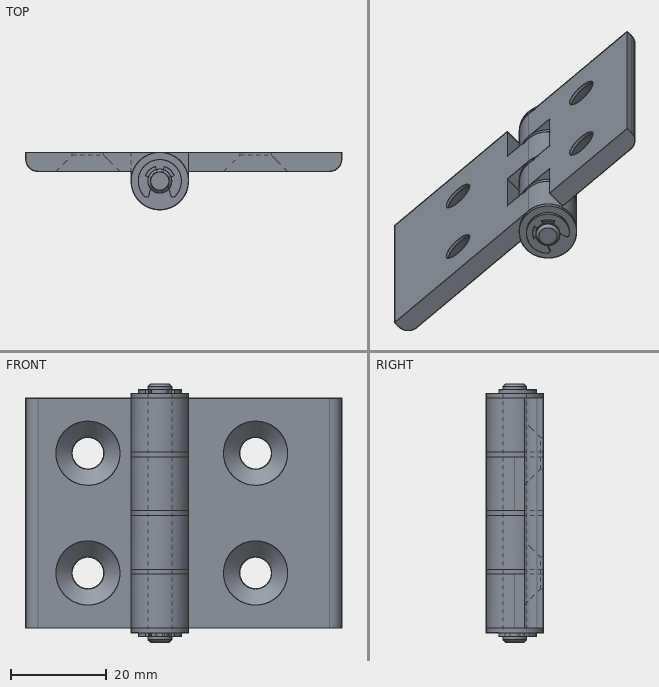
import cadquery as cq
import math


barrel_diameter = 12.0
barrel_radius = barrel_diameter / 2
washer_thickness = 1.0
knuckle_count = 4

leaf_height = 48.0
leaf_thickness = 4.0
left_leaf_reach = 28.0
right_leaf_reach = 38.0
edge_radius = 2.6
back_y = barrel_radius
front_y = back_y - leaf_thickness

left_hole_offset = 15.0
right_hole_offset = 20.0
hole_spacing = 25.0
hole_diameter = 6.6
countersink_diameter = 13.4
countersink_angle = 90.0

pin_diameter = 5.0
pin_length = 54.0
pin_chamfer = 0.6
groove_diameter = 4.0

clip_thickness = 0.8
clip_radius = 4.5
clip_tip_y = -3.33
mouth_half_width_at_tip = 2.4
mouth_half_width_at_groove = 1.73
relief_radius = 3.2
relief_start_angle = 21.0
relief_end_angle = 73.0

knuckle_length = (leaf_height - (knuckle_count - 1) * washer_thickness) / knuckle_count
knuckle_pitch = knuckle_length + washer_thickness
stack_bottom = -leaf_height / 2
clip_seat = leaf_height / 2 + washer_thickness


def cylinder(diameter, bottom, height):
    return cq.Workplane("XY").workplane(offset=bottom).circle(diameter / 2).extrude(height)


def knuckle_bottom(index):
    return stack_bottom + index * knuckle_pitch


def make_knuckle(side, index):
    """Round barrel section with a square shoulder running back to the leaf."""
    bottom = knuckle_bottom(index)
    shoulder = (
        cq.Workplane("XY")
        .workplane(offset=bottom)
        .center(side * barrel_radius / 2, barrel_radius / 2)
        .rect(barrel_radius, barrel_radius)
        .extrude(knuckle_length)
    )
    return cylinder(barrel_diameter, bottom, knuckle_length).union(shoulder)


def make_leaf(side, reach, hole_offset, knuckle_indices):
    """Leaf on the +X (side = 1) or -X (side = -1) side, with its knuckles."""
    inner_x = side * barrel_radius
    outer_x = side * reach
    round_start_x = side * (reach - edge_radius)
    arc_shift = edge_radius * math.sqrt(0.5)
    plate = (
        cq.Workplane("XY")
        .workplane(offset=stack_bottom)
        .moveTo(inner_x, back_y)
        .lineTo(inner_x, front_y)
        .lineTo(round_start_x, front_y)
        .threePointArc(
            (round_start_x + side * arc_shift, front_y + edge_radius - arc_shift),
            (outer_x, front_y + edge_radius),
        )
        .lineTo(outer_x, back_y)
        .close()
        .extrude(leaf_height)
    )
    hole_z = hole_spacing / 2
    plate = (
        plate.copyWorkplane(cq.Workplane("XZ", origin=(0, front_y, 0)))
        .pushPoints([(side * hole_offset, hole_z), (side * hole_offset, -hole_z)])
        .cskHole(hole_diameter, countersink_diameter, countersink_angle)
    )
    for index in knuckle_indices:
        plate = plate.union(make_knuckle(side, index))
    bore = cylinder(pin_diameter, stack_bottom, leaf_height)
    return plate.cut(bore)


def make_washer(bottom):
    blank = cylinder(barrel_diameter, bottom, washer_thickness)
    return blank.cut(cylinder(pin_diameter, bottom, washer_thickness))


def make_pin():
    """Chamfered pin with a clip groove just outside each end washer."""
    pin = cylinder(pin_diameter, -pin_length / 2, pin_length)
    pin = pin.faces("<Z or >Z").chamfer(pin_chamfer)
    for bottom in (clip_seat, -clip_seat - clip_thickness):
        groove = cylinder(pin_diameter, bottom, clip_thickness)
        pin = pin.cut(groove.cut(cylinder(groove_diameter, bottom, clip_thickness)))
    return pin


def make_relief(bottom, mirror):
    """Sector cut from the clip bore out to the relief radius."""
    middle_angle = (relief_start_angle + relief_end_angle) / 2
    start, middle, end = [
        (
            mirror * relief_radius * math.cos(math.radians(angle)),
            relief_radius * math.sin(math.radians(angle)),
        )
        for angle in (relief_start_angle, middle_angle, relief_end_angle)
    ]
    return (
        cq.Workplane("XY")
        .workplane(offset=bottom)
        .lineTo(*start)
        .threePointArc(middle, end)
        .close()
        .extrude(clip_thickness)
    )


def make_clip(bottom):
    """E-shaped retaining clip that opens towards -Y."""
    groove_radius = groove_diameter / 2
    mouth_inner_y = -math.sqrt(groove_radius**2 - mouth_half_width_at_groove**2)
    mouth = (
        cq.Workplane("XY")
        .workplane(offset=bottom)
        .polyline([
            (-mouth_half_width_at_groove, mouth_inner_y),
            (-mouth_half_width_at_tip, clip_tip_y),
            (mouth_half_width_at_tip, clip_tip_y),
            (mouth_half_width_at_groove, mouth_inner_y),
        ])
        .close()
        .extrude(clip_thickness)
    )
    tip_trim = (
        cq.Workplane("XY")
        .workplane(offset=bottom)
        .center(0, clip_tip_y - clip_radius / 2)
        .rect(2 * clip_radius, clip_radius)
        .extrude(clip_thickness)
    )
    clip = cylinder(2 * clip_radius, bottom, clip_thickness)
    clip = clip.cut(cylinder(groove_diameter, bottom, clip_thickness))
    clip = clip.cut(mouth).cut(tip_trim)
    for mirror in (-1, 1):
        clip = clip.cut(make_relief(bottom, mirror))
    return clip


right_leaf = make_leaf(1, right_leaf_reach, right_hole_offset, range(0, knuckle_count, 2))
left_leaf = make_leaf(-1, left_leaf_reach, left_hole_offset, range(1, knuckle_count, 2))

washers = [make_washer(knuckle_bottom(index) - washer_thickness) for index in range(knuckle_count + 1)]

pin = make_pin()
clips = [make_clip(bottom) for bottom in (clip_seat, -clip_seat - clip_thickness)]

result = cq.Compound.makeCompound([
    left_leaf.val(),
    right_leaf.val(),
    pin.val(),
    *[washer.val() for washer in washers],
    *[clip.val() for clip in clips],
])